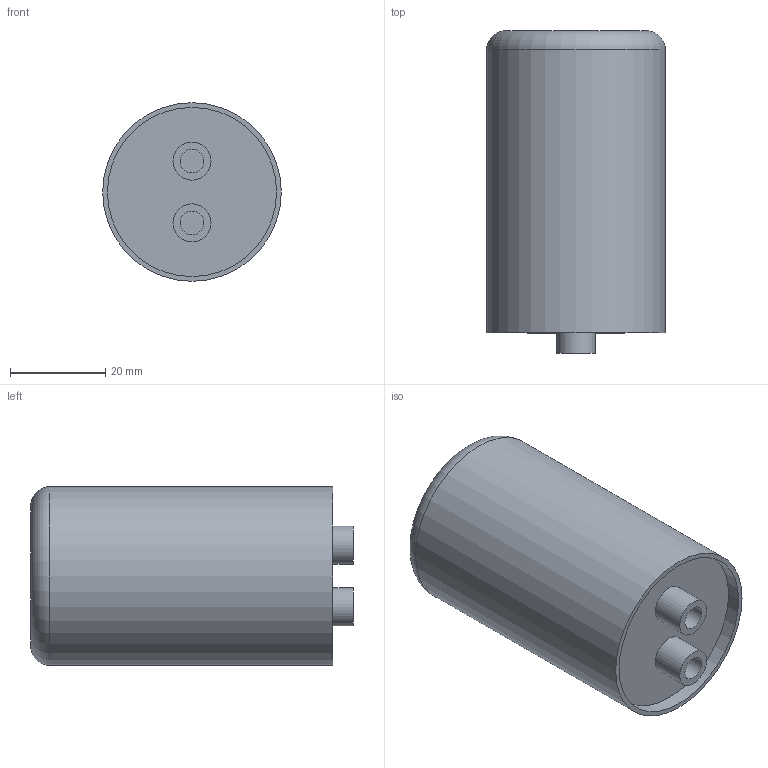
import cadquery as cq

can_diameter = 37.6
can_length = 63.6
back_edge_radius = 4.0
rim_thickness = 1.0
recess_depth = 3.0

terminal_diameter = 8.0
terminal_projection = 4.3
terminal_length = recess_depth + terminal_projection
terminal_bore_diameter = 5.0
terminal_pitch = 13.0
terminal_heights = (-terminal_pitch / 2, terminal_pitch / 2)


def cylinder_along_y(diameter, start_y, length, center_z=0.0):
    """Cylinder running from start_y towards +Y."""
    return (
        cq.Workplane("XZ", origin=(0, start_y, center_z))
        .circle(diameter / 2)
        .extrude(-length)
    )


def make_can():
    """Solid can with a rounded back edge and a shallow recess inside its front rim."""
    body = cylinder_along_y(can_diameter, 0, can_length)
    body = body.faces(">Y").edges().fillet(back_edge_radius)
    recess = cylinder_along_y(can_diameter - 2 * rim_thickness, 0, recess_depth)
    return body.cut(recess)


def make_terminal(center_z):
    """Tube from the recess floor out past the rim, bored along its whole length."""
    post = cylinder_along_y(terminal_diameter, -terminal_projection, terminal_length, center_z)
    bore = cylinder_along_y(terminal_bore_diameter, -terminal_projection, terminal_length, center_z)
    return post.cut(bore)


can = make_can()
terminals = [make_terminal(center_z) for center_z in terminal_heights]

result = cq.Compound.makeCompound([can.val(), *[terminal.val() for terminal in terminals]])